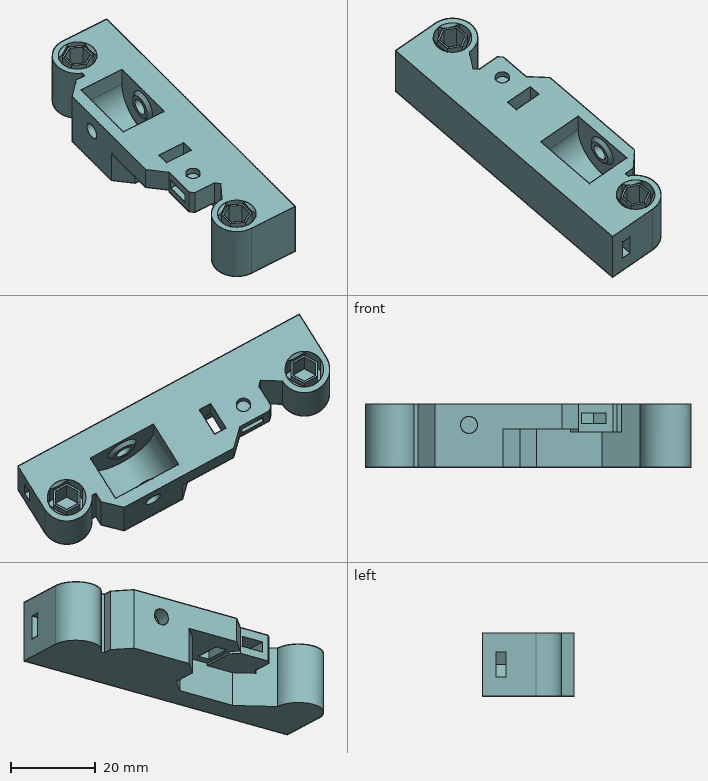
import cadquery as cq
import math

length = 77
depth = 21.7
height = 15.0
mid_height = height / 2

boss_radius = 6.0
boss_y = 9.0
left_boss_x = boss_radius
right_boss_x = length - boss_radius

bevel = 4.0
bulge_left = 12.5
bulge_right = 50.4
shoulder_y = bevel
notch_y = 6.5
nose_right = 59.5
nose_chamfer = 1.0
relief_y = 10.7
relief_widening = 1.1
relief_tip = (nose_right + relief_widening, relief_y + relief_widening)
boss_flank = (right_boss_x - boss_radius, boss_y)

cavity_mouth_x = 32.5
cavity_left = cavity_mouth_x + bevel
cavity_back = 14.7
cavity_top = 9.0
nose_bottom = 8.4
nose_left = 48.5

axle_x = 24.5
axle_z = 10
axle_radius = 2.0
axle_hole_end = 20
pocket_radius = 8.6
pocket_front = 3.0
pocket_back = 14.85
hub_base_radius = 3.85
hub_tip_radius = 2.9
hub_height = 0.9

window_x = 44.35
window_y = 5.4
window_width = 3.1
window_depth = 7.15

nut_width = 5.85
nose_nut_x = 54.0
nose_nut_y = 8.4
nose_nut_bottom = 10.3
nose_nut_thickness = 2.55
nose_screw_radius = 1.7
nose_screw_depth = 1.7
end_nut_x = left_boss_x
end_nut_front = 16.2
end_nut_thickness = 2.3

recess_radius = 4.55
recess_depth = mid_height
tube_outer_width = 6.2
tube_inner_width = 5.3
lip_flat = 3.8
lip_angles = (90, 210, 330)
lip_bevel = recess_radius - lip_flat


def box(x_range, y_range, z_range):
    """Axis-aligned box between pairs of limits."""
    sizes = [high - low for low, high in (x_range, y_range, z_range)]
    corner = (x_range[0], y_range[0], z_range[0])
    return cq.Workplane("XY").box(*sizes, centered=False).translate(corner)


def prism(points, bottom, top):
    """Vertical prism over a closed outline."""
    return cq.Workplane("XY", origin=(0, 0, bottom)).polyline(points).close().extrude(top - bottom)


def y_plane(x, y, z):
    """Sketch plane whose extrusions run toward +Y."""
    return cq.Workplane(cq.Plane(origin=(x, y, z), xDir=(1, 0, 0), normal=(0, 1, 0)))


def hexagon(plane, width, thickness):
    """Hexagonal prism with a pair of corners on the plane's local X axis."""
    return plane.polygon(6, width * 2 / math.sqrt(3)).extrude(thickness)


def make_block():
    boss_edge_x = left_boss_x + math.sqrt(boss_radius**2 - (boss_y - notch_y) ** 2)
    outline = (
        cq.Workplane("XY")
        .moveTo(0, depth)
        .lineTo(0, boss_y)
        .threePointArc((left_boss_x, boss_y - boss_radius), (boss_edge_x, notch_y))
        .lineTo(bulge_left, notch_y)
        .lineTo(bulge_left, bevel)
        .lineTo(bulge_left + bevel, 0)
        .lineTo(bulge_right - bevel, 0)
        .lineTo(bulge_right, shoulder_y)
        .lineTo(nose_right - nose_chamfer, shoulder_y)
        .lineTo(nose_right, shoulder_y + nose_chamfer)
        .lineTo(nose_right, relief_y)
        .lineTo(*relief_tip)
        .lineTo(*boss_flank)
        .threePointArc((right_boss_x, boss_y - boss_radius), (length, boss_y))
        .lineTo(length, depth)
        .close()
    )
    return outline.extrude(height)


def make_cavity():
    run_per_depth = (boss_flank[0] - relief_tip[0]) / (relief_tip[1] - boss_flank[1])
    back_right_x = boss_flank[0] - (cavity_back - boss_flank[1]) * run_per_depth
    outline = [
        (cavity_mouth_x, 0),
        (cavity_left, bevel),
        (cavity_left, cavity_back - bevel),
        (cavity_left + bevel, cavity_back),
        (back_right_x, cavity_back),
        boss_flank,
        (boss_flank[0], 0),
    ]
    nose_outline = [
        (bulge_right, shoulder_y),
        (boss_flank[0], shoulder_y),
        (boss_flank[0], cavity_back),
        (nose_left, cavity_back),
        (nose_left, shoulder_y + bulge_right - nose_left),
    ]
    return prism(outline, 0, cavity_top).cut(prism(nose_outline, nose_bottom, cavity_top))


def make_roller_pocket():
    span = pocket_back - pocket_front
    pocket = y_plane(axle_x, pocket_front, axle_z).circle(pocket_radius).extrude(span)
    pocket = pocket.union(
        box(
            (axle_x - pocket_radius, axle_x + pocket_radius),
            (pocket_front, pocket_back),
            (axle_z, height),
        )
    )
    axis = cq.Vector(0, 1, 0)
    for wall_y, direction in ((pocket_front, axis), (pocket_back, -axis)):
        hub = cq.Solid.makeCone(
            hub_base_radius, hub_tip_radius, hub_height, cq.Vector(axle_x, wall_y, axle_z), direction
        )
        pocket = pocket.cut(cq.Workplane(hub))
    axle_hole = y_plane(axle_x, 0, axle_z).circle(axle_radius).extrude(axle_hole_end)
    return pocket.union(axle_hole)


def make_nose_nut_trap():
    """Nut slot open to the front, with a blind screw hole above it."""
    plane = cq.Workplane("XY", origin=(nose_nut_x, nose_nut_y, nose_nut_bottom))
    nut = hexagon(plane, nut_width, nose_nut_thickness).rotate(
        (nose_nut_x, nose_nut_y, 0), (nose_nut_x, nose_nut_y, 1), 90
    )
    slot = box(
        (nose_nut_x - nut_width / 2, nose_nut_x + nut_width / 2),
        (0, nose_nut_y),
        (nose_nut_bottom, nose_nut_bottom + nose_nut_thickness),
    )
    screw = (
        plane.workplane(offset=height - nose_nut_bottom)
        .circle(nose_screw_radius)
        .extrude(-nose_screw_depth)
    )
    return nut.union(slot).union(screw)


def make_end_nut_trap():
    """Nut slot open to the left end."""
    nut = hexagon(y_plane(end_nut_x, end_nut_front, mid_height), nut_width, end_nut_thickness)
    slot = box(
        (0, end_nut_x),
        (end_nut_front, end_nut_front + end_nut_thickness),
        (mid_height - nut_width / 2, mid_height + nut_width / 2),
    )
    return nut.union(slot)


def make_boss_recess(x):
    """Round recess with three bevelled lips, around a hexagonal tube level with the top."""
    floor = height - recess_depth
    plane = cq.Workplane("XY", origin=(x, boss_y, floor))
    recess = plane.circle(recess_radius).extrude(recess_depth)
    for angle in lip_angles:
        lip = box((lip_flat, recess_radius), (-recess_radius, recess_radius), (0, recess_depth))
        recess = recess.cut(lip.rotate((0, 0, 0), (0, 0, 1), angle).translate((x, boss_y, floor)))
    bevel_cone = cq.Solid.makeCone(
        lip_flat, recess_radius, lip_bevel, cq.Vector(x, boss_y, height - lip_bevel)
    )
    recess = recess.union(cq.Workplane(bevel_cone))
    recess = recess.cut(hexagon(plane, tube_outer_width, recess_depth))
    return recess.union(hexagon(plane, tube_inner_width, recess_depth))


window = box(
    (window_x, window_x + window_width), (window_y, window_y + window_depth), (0, height)
)

result = make_block()
cuts = [make_cavity(), make_roller_pocket(), window, make_nose_nut_trap(), make_end_nut_trap()]
cuts += [make_boss_recess(x) for x in (left_boss_x, right_boss_x)]
for cut in cuts:
    result = result.cut(cut)